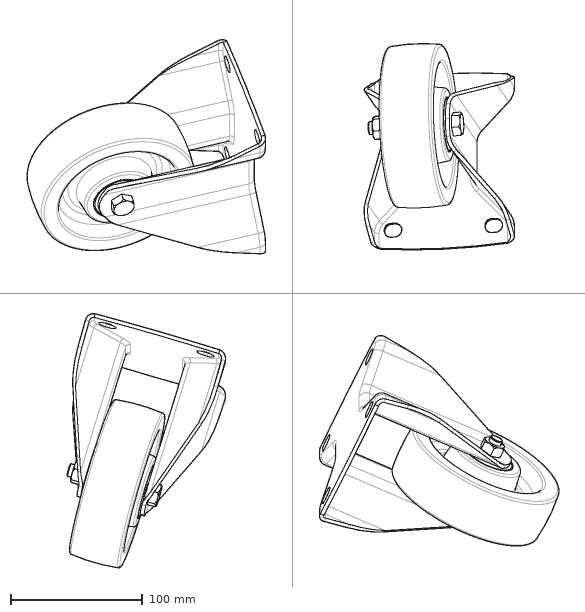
import cadquery as cq
import math


WHEEL_RADIUS = 62.5
WHEEL_HALF_WIDTH = 20.0
CROWN_EDGE_RADIUS = 61.1
TREAD_FILLET = 1.9
HUB_HALF_WIDTH = 22.8
HUB_RADIUS = 27.7
HUB_FILLET = 1.9
HUB_ROOT_RADIUS = 30.7
RIM_MOUTH_RADIUS = 47.9
RIM_ROOT_RADIUS = 44.0
MOUTH_FILLET = 1.7
HUB_ROOT_FILLET = 5.5
RIM_ROOT_FILLET = 5.5
WEB_HALF_WIDTH = 2.9
BEARING_RADIUS = 20.9
BEARING_CHAMFER = 1.0

SHEET = 3.0
FORK_HALF_WIDTH = 55.5
WEB_OUTSIDE_X = 26.7
WEB_CORNER_Z = 17.8
FLARE_CORNER_Z = 48.2
WEB_BEND_RADIUS = 12.2
FLARE_BEND_RADIUS = 32.5 / 2
PLATE_BEND_RADIUS = 12.0 / 2
PLATE_HALF_HEIGHT = 68.8
PLATE_CORNER_Z = 66.4
BACK_Y = 169.8 - WHEEL_RADIUS
LEG_EDGE_SLOPE = math.tan(math.radians(21.2))
LEG_EDGE_Y0 = -59.3
TIP_RADIUS = 20.9
TIP_Y = -17.7
TIP_CENTRE_Y = TIP_Y + TIP_RADIUS
SLOT_X = 38.9
SLOT_Z = 52.7
SLOT_LENGTH = 13.6
SLOT_HEIGHT = 10.9

BOLT_DIAMETER = 10.0
SLEEVE_DIAMETER = 12.0
HEX_FLATS = 16.0
NUT_HEIGHT = 8.2
HEAD_HEIGHT = 6.6
TAIL_LENGTH = 3.7
TAIL_CHAMFER = 0.7

BEND_ANGLE = math.atan2(FORK_HALF_WIDTH - WEB_OUTSIDE_X, FLARE_CORNER_Z - WEB_CORNER_Z)
HALF_TAN = math.tan(BEND_ANGLE / 2)
WEB_FLAT_Z = WEB_CORNER_Z - WEB_BEND_RADIUS * HALF_TAN
FLARE_FLAT_Z = FLARE_CORNER_Z + FLARE_BEND_RADIUS * HALF_TAN
BEND_END_Y = BACK_Y - PLATE_BEND_RADIUS
FLARE_END_Z = LEG_EDGE_SLOPE * (BEND_END_Y - LEG_EDGE_Y0)

TOLERANCE = 0.0002

MARGIN = 0.8
FAR = 101.9

CURVE_STEPS = 8


def ramp(start, end):
    """Evenly spaced values from start to end."""
    return [start + (end - start) * i / CURVE_STEPS for i in range(CURVE_STEPS + 1)]


def fillet_circles(solid, circle_radius, fillet_radius):
    """Round every circular edge of the given radius."""
    edges = solid.edges("%CIRCLE").filter(lambda edge: abs(edge.radius() - circle_radius) < TOLERANCE)
    return edges.fillet(fillet_radius)


def four_ways(shape):
    """The shape and its mirror images in the YZ and XY planes."""
    pair = [shape, shape.mirror("YZ")]
    return pair + [half.mirror("XY") for half in pair]


def make_wheel():
    """Wheel with a crowned tread, dished sides and a bearing ring in each hub face."""
    side = [
        (HUB_HALF_WIDTH, SLEEVE_DIAMETER / 2),
        (HUB_HALF_WIDTH, BEARING_RADIUS - BEARING_CHAMFER),
        (HUB_HALF_WIDTH - BEARING_CHAMFER, BEARING_RADIUS),
        (HUB_HALF_WIDTH, BEARING_RADIUS),
        (HUB_HALF_WIDTH, HUB_RADIUS),
        (WEB_HALF_WIDTH, HUB_ROOT_RADIUS),
        (WEB_HALF_WIDTH, RIM_ROOT_RADIUS),
        (WHEEL_HALF_WIDTH, RIM_MOUTH_RADIUS),
        (WHEEL_HALF_WIDTH, CROWN_EDGE_RADIUS),
    ]
    other_side = [(-x, radius) for x, radius in reversed(side)]
    wheel = (
        cq.Workplane("XY")
        .polyline(side)
        .threePointArc((0, WHEEL_RADIUS), other_side[0])
        .polyline(other_side, includeCurrent=False)
        .close()
        .revolve(360, (0, 0, 0), (1, 0, 0))
    )
    wheel = fillet_circles(wheel, HUB_ROOT_RADIUS, HUB_ROOT_FILLET)
    wheel = fillet_circles(wheel, RIM_ROOT_RADIUS, RIM_ROOT_FILLET)
    wheel = fillet_circles(wheel, RIM_MOUTH_RADIUS, MOUTH_FILLET)
    wheel = fillet_circles(wheel, HUB_RADIUS, HUB_FILLET)
    return fillet_circles(wheel, CROWN_EDGE_RADIUS, TREAD_FILLET)


def fork_envelope(inset):
    """Hourglass block with rounded bends, shrunk by inset on its sides and back."""
    corner_shift = inset * HALF_TAN
    web_z = WEB_CORNER_Z + corner_shift
    flare_z = FLARE_CORNER_Z + corner_shift
    flare_x = FORK_HALF_WIDTH - inset
    upper = [(WEB_OUTSIDE_X - inset, web_z), (flare_x, flare_z), (flare_x, FAR)]
    right = [(x, -z) for x, z in reversed(upper)] + upper
    left = [(-x, -z) for x, z in right]
    block = (
        cq.Workplane("XZ", origin=(0, BACK_Y - inset, 0))
        .polyline(right + left)
        .close()
        .extrude(2 * FAR)
    )
    for corner_z, bend_radius in ((web_z, WEB_BEND_RADIUS + inset), (flare_z, FLARE_BEND_RADIUS - inset)):
        bends = block.edges("|Y").filter(lambda edge: abs(abs(edge.Center().z) - corner_z) < TOLERANCE)
        block = bends.fillet(bend_radius)
    return block.faces(">Y").edges("not |X").fillet(PLATE_BEND_RADIUS - inset)


def edge_tool(stations, direction):
    """Solid bounded by the cut face across the sheet and swept away from it.

    Each station is (outside point, direction to the inside of the sheet).
    """
    outer = [point - inward * MARGIN for point, inward in stations]
    inner = [point + inward * (SHEET + MARGIN) for point, inward in stations]
    face = cq.Face.makeRuledSurface(cq.Edge.makeSpline(outer), cq.Edge.makeSpline(inner))
    return cq.Solid.extrudeLinear(face, direction)


def straight_edge_y(z):
    """Y of the straight leg edge at height z."""
    return LEG_EDGE_Y0 + z / LEG_EDGE_SLOPE


def tip_y(z):
    """Y of the round leg tip at height z."""
    return TIP_CENTRE_Y - math.sqrt(TIP_RADIUS**2 - z**2)


def blend_y(z, z_start, z_end):
    """Y of the smooth run (cubic) from the round tip to the straight edge."""
    span = z_end - z_start
    start_y = tip_y(z_start)
    end_y = straight_edge_y(z_end)
    start_rise = span * z_start / (TIP_CENTRE_Y - start_y)
    end_rise = span / LEG_EDGE_SLOPE
    t = (z - z_start) / span
    return (
        start_y * (2 * t**3 - 3 * t**2 + 1)
        + start_rise * (t**3 - 2 * t**2 + t)
        + end_y * (3 * t**2 - 2 * t**3)
        + end_rise * (t**3 - t**2)
    )


def leg_edge_tools():
    """Tools that trim the upper +X leg edge, one for each flat or bend of the sheet."""
    web_inward = cq.Vector(-1, 0, 0)
    tip = [(cq.Vector(WEB_OUTSIDE_X, tip_y(z), z), web_inward) for z in ramp(0, WEB_FLAT_Z)]

    web_bend = []
    bend_end_z = WEB_FLAT_Z + WEB_BEND_RADIUS * math.sin(BEND_ANGLE)
    for angle in ramp(0, BEND_ANGLE):
        x = WEB_OUTSIDE_X + WEB_BEND_RADIUS * (1 - math.cos(angle))
        z = WEB_FLAT_Z + WEB_BEND_RADIUS * math.sin(angle)
        y = blend_y(z, WEB_FLAT_Z, bend_end_z)
        web_bend.append((cq.Vector(x, y, z), cq.Vector(-math.cos(angle), 0, math.sin(angle))))

    flare_bend = []
    for angle in ramp(BEND_ANGLE, 0):
        x = FORK_HALF_WIDTH - FLARE_BEND_RADIUS * (1 - math.cos(angle))
        z = FLARE_FLAT_Z - FLARE_BEND_RADIUS * math.sin(angle)
        inward = cq.Vector(-math.cos(angle), 0, math.sin(angle))
        flare_bend.append((cq.Vector(x, straight_edge_y(z), z), inward))

    slope = [web_bend[-1], flare_bend[0]]
    flare_end = (cq.Vector(FORK_HALF_WIDTH, BEND_END_Y, FLARE_END_Z), web_inward)
    flare = [flare_bend[-1], flare_end]
    beyond = [flare_end, (cq.Vector(FORK_HALF_WIDTH, BEND_END_Y, FAR), web_inward)]
    away = cq.Vector(0, -2 * FAR, 0)
    return [edge_tool(run, away) for run in (tip, web_bend, slope, flare_bend, flare, beyond)]


def plate_corner_tool():
    """Tool that trims the bend between plate and leg at the upper +X corner."""
    stations = []
    centre = cq.Vector(FORK_HALF_WIDTH - PLATE_BEND_RADIUS, BEND_END_Y, 0)
    for turn in ramp(0, 1):
        angle = turn * math.pi / 2
        inward = cq.Vector(-math.sin(angle), -math.cos(angle), 0)
        z = PLATE_CORNER_Z + (FLARE_END_Z - PLATE_CORNER_Z) * turn
        stations.append((centre - inward * PLATE_BEND_RADIUS + cq.Vector(0, 0, z), inward))
    return edge_tool(stations, cq.Vector(0, 0, FAR))


def plate_end_tool():
    """Tool that trims the upper plate edge to a shallow arc."""
    half_width = FORK_HALF_WIDTH - PLATE_BEND_RADIUS
    return (
        cq.Workplane("XZ", origin=(0, BACK_Y + MARGIN, 0))
        .moveTo(-half_width, PLATE_CORNER_Z)
        .threePointArc((0, PLATE_HALF_HEIGHT), (half_width, PLATE_CORNER_Z))
        .lineTo(half_width, 2 * FAR)
        .lineTo(-half_width, 2 * FAR)
        .close()
        .extrude(PLATE_BEND_RADIUS)
        .val()
    )


def make_fork():
    """Bent sheet: plate with four slots and two bent legs with the axle hole."""
    fork = fork_envelope(0).cut(fork_envelope(SHEET))
    for tool in leg_edge_tools() + [plate_corner_tool()]:
        for copy in four_ways(tool):
            fork = fork.cut(cq.Workplane(copy))
    end_tool = plate_end_tool()
    for copy in (end_tool, end_tool.mirror("XY")):
        fork = fork.cut(cq.Workplane(copy))
    slots = (
        cq.Workplane("XZ", origin=(0, BACK_Y + MARGIN, 0))
        .rect(2 * SLOT_X, 2 * SLOT_Z, forConstruction=True)
        .vertices()
        .slot2D(SLOT_LENGTH, SLOT_HEIGHT)
        .extrude(SHEET + 2 * MARGIN)
    )
    axle_hole = cq.Workplane("YZ").circle(BOLT_DIAMETER / 2).extrude(FAR, both=True)
    return fork.cut(slots).cut(axle_hole)


def hexagon(height):
    """Hexagonal block along +X with corners up and down, chamfered at the corners of its outer end."""
    corner_diameter = HEX_FLATS / math.cos(math.pi / 6)
    prism = (
        cq.Workplane("YZ")
        .transformed(rotate=(0, 0, 90))
        .polygon(6, corner_diameter)
        .extrude(height)
    )
    corner_drop = (corner_diameter - HEX_FLATS) / 2
    cone = cq.Workplane("YZ").circle(corner_diameter / 2).extrude(height).faces(">X").chamfer(corner_drop)
    return prism.intersect(cone)


def make_axle():
    """Bolt with head, nut and the sleeve that spaces the wheel between the legs."""
    sleeve_half = WEB_OUTSIDE_X - SHEET
    nut_face = WEB_OUTSIDE_X + NUT_HEIGHT
    sleeve = cq.Workplane("YZ").circle(SLEEVE_DIAMETER / 2).extrude(sleeve_half, both=True)
    shank = (
        cq.Workplane("YZ", origin=(-nut_face - TAIL_LENGTH, 0, 0))
        .circle(BOLT_DIAMETER / 2)
        .extrude(nut_face + TAIL_LENGTH + WEB_OUTSIDE_X)
        .faces("<X")
        .chamfer(TAIL_CHAMFER)
    )
    head = hexagon(HEAD_HEIGHT).translate((WEB_OUTSIDE_X, 0, 0))
    nut = hexagon(NUT_HEIGHT).mirror("YZ").translate((-WEB_OUTSIDE_X, 0, 0))
    return shank.union(sleeve).union(head).union(nut)


wheel = make_wheel()
fork = make_fork()
axle = make_axle()

result = cq.Compound.makeCompound([fork.val(), wheel.val(), axle.val()])